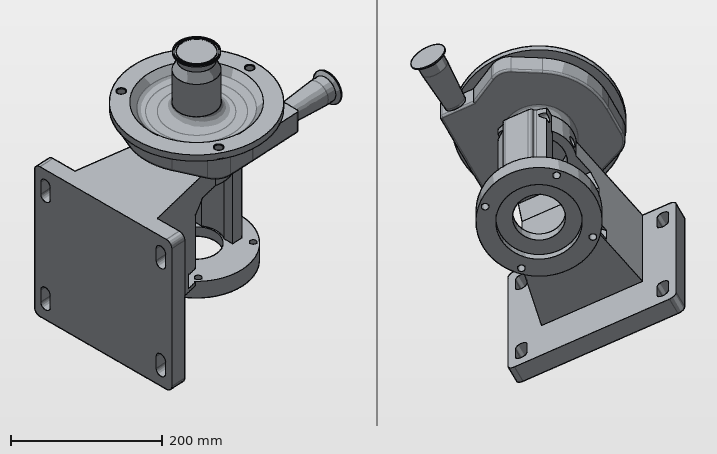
import cadquery as cq
import math


PLATE_SIZE = 250.0
PLATE_THICKNESS = 25.0
PLATE_FRONT_Y = -180.0
PLATE_CORNER_RADIUS = 10.0
PLATE_BACK_Y = PLATE_FRONT_Y + PLATE_THICKNESS
SLOT_LENGTH = 37.0
SLOT_WIDTH = 17.0
SLOT_SPACING_X = 210.0
SLOT_SPACING_Z = 180.0

BOSS_RADIUS = 50.0
BOSS_TOP_Z = 3.0
BOSS_BOTTOM_Z = -38.0
BORE_RADIUS = 37.5
BORE_TOP_Z = 0.0
BOSS_PIN_DIAMETER = 15.0
BOSS_PIN_Z = -24.5

ARM_ROOT_HALF_WIDTH = 75.0
ARM_TIP_Y = -14.5
ARM_BOTTOM_Z = -173.0
ARM_INNER_Y = -62.5
ARM_CHAMFER = 17.5
NOTCH_SIZE = 16.5
NOTCH_HEIGHT = 22.5

RING_RADIUS = 83.5
RING_HOLE_RADIUS = 35.0
RING_SPIGOT_RADIUS = 57.25
RING_SPIGOT_DEPTH = 12.0
RING_TOP_Z = -167.0
RING_BOTTOM_Z = -195.0
RING_BOLT_CIRCLE_RADIUS = 75.0
RING_BOLT_DIAMETER = 10.0
RING_BOLT_COUNT = 4

PILLAR_HALF_WIDTH = 36.0
PILLAR_INNER_Y = 31.5
PILLAR_OUTER_RADIUS = 61.0
PILLAR_RIB_HALF_WIDTH = 22.0
PILLAR_RIB_Y = 65.5
PILLAR_RIB_EDGE_FILLET = 5.0
PILLAR_RIB_ROOT_FILLET = 4.0
PILLAR_CHAMFER_Y = 45.0
PILLAR_CHAMFER_HEIGHT = 18.0
PILLAR_PIN_DIAMETER = 15.0
PILLAR_PIN_Y = 47.0
PILLAR_PIN_Z = -20.5

CASING_BOTTOM_Z = 23.0
CASING_TOP_Z = 58.0
CASING_SIDE_RADIUS = 103.0
CASING_FRONT_RADIUS = 97.5
CASING_EDGE_FILLET = 3.0
LOBE_RADIUS = 29.0
LOBE_CENTER_RADIUS = 85.0
LOBE_ANGLES = (90.0, 210.0, 330.0)

NECK_RADIUS = 41.75
NECK_FILLET = 10.0

FLANGE_RADIUS = 115.5
FLANGE_TOP_Z = 68.5
FLANGE_HOLE_DIAMETER = 12.0
FLANGE_HOLE_CHAMFER = 1.0
FLANGE_HOLE_DEPTH = 20.0
FLANGE_BOLT_CIRCLE_RADIUS = 102.5

DISH_RADIUS = 88.5
DISH_DEPTH = 16.0
DISH_WALL_ANGLE = 49.0
DISH_FLOOR_OUTER_RADIUS = 67.5
DISH_FLOOR_INNER_RADIUS = 52.0
DISH_FLOOR_Z = FLANGE_TOP_Z - DISH_DEPTH

SUCTION_RADIUS = 32.5
SUCTION_CONE_BOTTOM_Z = 122.5
SUCTION_CONE_TOP_Z = 138.0
SUCTION_NECK_RADIUS = 26.0
SUCTION_TOP_Z = 153.0
SUCTION_FERRULE_RADIUS = 32.0
GASKET_GROOVE_INNER_RADIUS = 27.0
GASKET_GROOVE_OUTER_RADIUS = 30.0
GASKET_GROOVE_DEPTH = 1.5

OUTLET_X = 78.9
OUTLET_Z = 40.0
OUTLET_END_Y = 170.0
OUTLET_BLOCK_X = 103.0
OUTLET_BLOCK_Y = 88.7
OUTLET_BLOCK_CORNER_RADIUS = 4.0
OUTLET_ROOT_RADIUS = 15.2
OUTLET_NECK_RADIUS = 19.2
OUTLET_CONE_START_Y = 92.0
OUTLET_CONE_END_Y = 150.0
OUTLET_FERRULE_RADIUS = 25.25

FERRULE_RIM = 2.0
FERRULE_CONE = 3.5


def polar(radius, angle_degrees):
    angle = math.radians(angle_degrees)
    return (radius * math.cos(angle), radius * math.sin(angle))


def make_plate():
    plate = (
        cq.Workplane("XY")
        .box(PLATE_SIZE, PLATE_THICKNESS, PLATE_SIZE)
        .edges("|Y")
        .fillet(PLATE_CORNER_RADIUS)
    )
    slots = (
        cq.Workplane("XZ")
        .rarray(SLOT_SPACING_X, SLOT_SPACING_Z, 2, 2)
        .slot2D(SLOT_LENGTH, SLOT_WIDTH, 90)
        .extrude(PLATE_THICKNESS, both=True)
    )
    return plate.cut(slots).translate((0, PLATE_FRONT_Y + PLATE_THICKNESS / 2, -PLATE_SIZE / 2))


def make_arm():
    tip_x = math.sqrt(BOSS_RADIUS**2 - ARM_TIP_Y**2)
    plan = (
        cq.Workplane("XY", origin=(0, 0, ARM_BOTTOM_Z))
        .moveTo(-ARM_ROOT_HALF_WIDTH, PLATE_BACK_Y)
        .lineTo(ARM_ROOT_HALF_WIDTH, PLATE_BACK_Y)
        .lineTo(tip_x, ARM_TIP_Y)
        .lineTo(-tip_x, ARM_TIP_Y)
        .close()
        .extrude(-ARM_BOTTOM_Z)
    )
    side = (
        cq.Workplane("YZ")
        .moveTo(PLATE_BACK_Y, 0)
        .lineTo(ARM_TIP_Y, 0)
        .lineTo(ARM_TIP_Y, BOSS_BOTTOM_Z)
        .lineTo(ARM_INNER_Y + ARM_CHAMFER, BOSS_BOTTOM_Z)
        .lineTo(ARM_INNER_Y, BOSS_BOTTOM_Z - ARM_CHAMFER)
        .lineTo(ARM_INNER_Y, ARM_BOTTOM_Z)
        .lineTo(PLATE_BACK_Y, ARM_BOTTOM_Z)
        .close()
        .extrude(ARM_ROOT_HALF_WIDTH, both=True)
    )
    arm = plan.intersect(side)
    side_slope = (ARM_ROOT_HALF_WIDTH - tip_x) / (ARM_TIP_Y - PLATE_BACK_Y)
    notch_y = ARM_INNER_Y - NOTCH_SIZE
    notch_x = tip_x + side_slope * (ARM_TIP_Y - notch_y)
    for side_sign in (-1, 1):
        notch = (
            cq.Workplane("XY", origin=(0, 0, RING_TOP_Z))
            .moveTo(side_sign * notch_x, notch_y)
            .lineTo(side_sign * (notch_x - NOTCH_SIZE), ARM_INNER_Y)
            .lineTo(side_sign * notch_x, ARM_INNER_Y)
            .close()
            .extrude(NOTCH_HEIGHT)
        )
        arm = arm.cut(notch)
    return arm


def make_ring():
    return (
        cq.Workplane("XY", origin=(0, 0, RING_BOTTOM_Z))
        .circle(RING_RADIUS)
        .extrude(RING_TOP_Z - RING_BOTTOM_Z)
    )


def ring_cutters():
    bolt_circle = cq.Workplane("XY", origin=(0, 0, RING_BOTTOM_Z)).polarArray(
        RING_BOLT_CIRCLE_RADIUS, 180 / RING_BOLT_COUNT, 360, RING_BOLT_COUNT
    )
    thickness = RING_TOP_Z - RING_BOTTOM_Z
    bolts = bolt_circle.circle(RING_BOLT_DIAMETER / 2).extrude(thickness)
    hole = cq.Workplane("XY", origin=(0, 0, RING_BOTTOM_Z)).circle(RING_HOLE_RADIUS).extrude(thickness)
    spigot = (
        cq.Workplane("XY", origin=(0, 0, RING_BOTTOM_Z))
        .circle(RING_SPIGOT_RADIUS)
        .extrude(RING_SPIGOT_DEPTH)
    )
    return bolts.union(hole).union(spigot)


def make_pillar():
    height = BOSS_TOP_Z - RING_TOP_Z
    base = cq.Workplane("XY", origin=(0, 0, RING_TOP_Z))
    blank = (
        base.moveTo(-PILLAR_HALF_WIDTH, PILLAR_INNER_Y)
        .lineTo(PILLAR_HALF_WIDTH, PILLAR_INNER_Y)
        .lineTo(PILLAR_HALF_WIDTH, PILLAR_OUTER_RADIUS)
        .lineTo(-PILLAR_HALF_WIDTH, PILLAR_OUTER_RADIUS)
        .close()
        .extrude(height)
    )
    web = base.circle(PILLAR_OUTER_RADIUS).extrude(height).intersect(blank)
    rib_depth = PILLAR_RIB_Y - PILLAR_INNER_Y
    rib = (
        base.center(0, PILLAR_INNER_Y + rib_depth / 2)
        .rect(2 * PILLAR_RIB_HALF_WIDTH, rib_depth)
        .extrude(height)
        .edges("|Z and >Y")
        .fillet(PILLAR_RIB_EDGE_FILLET)
    )
    pillar = web.union(rib)
    root_y = math.sqrt(PILLAR_OUTER_RADIUS**2 - PILLAR_RIB_HALF_WIDTH**2)
    for side_sign in (-1, 1):
        root_point = (side_sign * PILLAR_RIB_HALF_WIDTH, root_y, RING_TOP_Z + height / 2)
        root_edge = cq.selectors.NearestToPointSelector(root_point)
        pillar = pillar.edges(root_edge).fillet(PILLAR_RIB_ROOT_FILLET)
    return pillar


def pillar_cutters():
    """Sloped top corner and cross pin hole; both also cut the rim of the boss."""
    corner = (
        cq.Workplane("YZ")
        .moveTo(PILLAR_CHAMFER_Y, BOSS_TOP_Z)
        .lineTo(PILLAR_RIB_Y, BOSS_TOP_Z)
        .lineTo(PILLAR_RIB_Y, BOSS_TOP_Z - PILLAR_CHAMFER_HEIGHT)
        .close()
        .extrude(PILLAR_HALF_WIDTH, both=True)
    )
    pin_hole = (
        cq.Workplane("YZ", origin=(0, PILLAR_PIN_Y, PILLAR_PIN_Z))
        .circle(PILLAR_PIN_DIAMETER / 2)
        .extrude(PILLAR_HALF_WIDTH, both=True)
    )
    return corner.union(pin_hole)


def make_boss():
    return (
        cq.Workplane("XY", origin=(0, 0, BOSS_BOTTOM_Z))
        .circle(BOSS_RADIUS)
        .extrude(BOSS_TOP_Z - BOSS_BOTTOM_Z)
    )


def bore_cutters():
    bore = (
        cq.Workplane("XY", origin=(0, 0, RING_TOP_Z))
        .circle(BORE_RADIUS)
        .extrude(BORE_TOP_Z - RING_TOP_Z)
    )
    pin_hole = (
        cq.Workplane("YZ", origin=(0, 0, BOSS_PIN_Z))
        .circle(BOSS_PIN_DIAMETER / 2)
        .extrude(-BOSS_RADIUS)
    )
    return bore.union(pin_hole)


def tangent_lean(body_radius):
    """Angle from a lobe's center line to the normal of its tangent line to the body arc."""
    return math.degrees(math.acos((body_radius - LOBE_RADIUS) / LOBE_CENTER_RADIUS))


def lobe_point(lobe_angle, normal_angle):
    """Point on a lobe where its outward normal has the given angle."""
    center_x, center_y = polar(LOBE_CENTER_RADIUS, lobe_angle)
    x, y = polar(LOBE_RADIUS, normal_angle)
    return (center_x + x, center_y + y)


def make_casing():
    """Three-lobed casing: a lobe at each flange bolt, joined to the body arcs by tangent lines."""
    start = lobe_point(LOBE_ANGLES[0], LOBE_ANGLES[0] - tangent_lean(CASING_SIDE_RADIUS))
    outline = cq.Workplane("XY", origin=(0, 0, CASING_BOTTOM_Z)).moveTo(*start)
    body_radii = (CASING_SIDE_RADIUS, CASING_FRONT_RADIUS, CASING_SIDE_RADIUS)
    lobe_step = 360 / len(LOBE_ANGLES)
    for lobe_angle, body_radius in zip(LOBE_ANGLES, body_radii):
        next_lobe = lobe_angle + lobe_step
        lean = tangent_lean(body_radius)
        outline = (
            outline.threePointArc(
                lobe_point(lobe_angle, lobe_angle), lobe_point(lobe_angle, lobe_angle + lean)
            )
            .lineTo(*polar(body_radius, lobe_angle + lean))
            .threePointArc(
                polar(body_radius, lobe_angle + lobe_step / 2), polar(body_radius, next_lobe - lean)
            )
            .lineTo(*lobe_point(next_lobe, next_lobe - lean))
        )
    body = outline.close().extrude(CASING_TOP_Z - CASING_BOTTOM_Z)
    block = (
        cq.Workplane("XY", origin=(0, 0, CASING_BOTTOM_Z))
        .rect(OUTLET_BLOCK_X, OUTLET_BLOCK_Y, centered=False)
        .extrude(CASING_TOP_Z - CASING_BOTTOM_Z)
        .edges("|Z and >X and >Y")
        .fillet(OUTLET_BLOCK_CORNER_RADIUS)
    )
    return body.union(block).faces("<Z").edges().fillet(CASING_EDGE_FILLET)


def make_neck():
    top_radius = NECK_RADIUS + NECK_FILLET
    fillet_mid = NECK_FILLET * (1 - math.sqrt(0.5))
    return (
        cq.Workplane("XZ")
        .moveTo(0, BOSS_TOP_Z)
        .lineTo(NECK_RADIUS, BOSS_TOP_Z)
        .lineTo(NECK_RADIUS, CASING_BOTTOM_Z - NECK_FILLET)
        .threePointArc(
            (NECK_RADIUS + fillet_mid, CASING_BOTTOM_Z - fillet_mid), (top_radius, CASING_BOTTOM_Z)
        )
        .lineTo(0, CASING_BOTTOM_Z)
        .close()
        .revolve(360, (0, 0), (0, 1))
    )


def make_flange():
    return (
        cq.Workplane("XY", origin=(0, 0, CASING_TOP_Z))
        .circle(FLANGE_RADIUS)
        .extrude(FLANGE_TOP_Z - CASING_TOP_Z)
    )


def make_dish():
    """Ring-shaped recess with a conical wall, a flat floor and a fillet up to the suction pipe."""
    wall_angle = math.radians(DISH_WALL_ANGLE)
    wall_foot_radius = DISH_RADIUS - DISH_DEPTH / math.tan(wall_angle)
    tangent_length = wall_foot_radius - DISH_FLOOR_OUTER_RADIUS
    wall_start_radius = wall_foot_radius + tangent_length * math.cos(wall_angle)
    wall_start_z = DISH_FLOOR_Z + tangent_length * math.sin(wall_angle)
    pipe_fillet = DISH_FLOOR_INNER_RADIUS - SUCTION_RADIUS
    fillet_end_radius = DISH_FLOOR_INNER_RADIUS - math.sqrt(
        pipe_fillet**2 - (pipe_fillet - DISH_DEPTH) ** 2
    )
    return (
        cq.Workplane("XZ")
        .moveTo(DISH_RADIUS, FLANGE_TOP_Z)
        .lineTo(wall_start_radius, wall_start_z)
        .tangentArcPoint((DISH_FLOOR_OUTER_RADIUS, DISH_FLOOR_Z), relative=False)
        .lineTo(DISH_FLOOR_INNER_RADIUS, DISH_FLOOR_Z)
        .tangentArcPoint((fillet_end_radius, FLANGE_TOP_Z), relative=False)
        .close()
        .revolve(360, (0, 0), (0, 1))
    )


def flange_holes():
    radius = FLANGE_HOLE_DIAMETER / 2
    hole = (
        cq.Workplane("XZ")
        .moveTo(0, 0)
        .lineTo(radius + FLANGE_HOLE_CHAMFER, 0)
        .lineTo(radius, -FLANGE_HOLE_CHAMFER)
        .lineTo(radius, -FLANGE_HOLE_DEPTH)
        .lineTo(0, -FLANGE_HOLE_DEPTH)
        .close()
        .revolve(360, (0, 0), (0, 1))
    )
    holes = cq.Workplane("XY")
    for angle in LOBE_ANGLES:
        x, y = polar(FLANGE_BOLT_CIRCLE_RADIUS, angle)
        holes = holes.add(hole.translate((x, y, FLANGE_TOP_Z)))
    return holes.combine()


def make_suction_pipe():
    groove = (
        cq.Workplane("XY", origin=(0, 0, SUCTION_TOP_Z))
        .circle(GASKET_GROOVE_OUTER_RADIUS)
        .circle(GASKET_GROOVE_INNER_RADIUS)
        .extrude(-GASKET_GROOVE_DEPTH)
    )
    return (
        cq.Workplane("XZ")
        .moveTo(0, DISH_FLOOR_Z)
        .lineTo(SUCTION_RADIUS, DISH_FLOOR_Z)
        .lineTo(SUCTION_RADIUS, SUCTION_CONE_BOTTOM_Z)
        .lineTo(SUCTION_NECK_RADIUS, SUCTION_CONE_TOP_Z)
        .lineTo(SUCTION_NECK_RADIUS, SUCTION_TOP_Z - FERRULE_RIM - FERRULE_CONE)
        .lineTo(SUCTION_FERRULE_RADIUS, SUCTION_TOP_Z - FERRULE_RIM)
        .lineTo(SUCTION_FERRULE_RADIUS, SUCTION_TOP_Z)
        .lineTo(0, SUCTION_TOP_Z)
        .close()
        .revolve(360, (0, 0), (0, 1))
        .cut(groove)
    )


def make_discharge_pipe():
    return (
        cq.Workplane("XY", origin=(OUTLET_X, 0, OUTLET_Z))
        .moveTo(0, OUTLET_BLOCK_Y)
        .lineTo(OUTLET_ROOT_RADIUS, OUTLET_BLOCK_Y)
        .lineTo(OUTLET_ROOT_RADIUS, OUTLET_CONE_START_Y)
        .lineTo(OUTLET_NECK_RADIUS, OUTLET_CONE_END_Y)
        .lineTo(OUTLET_NECK_RADIUS, OUTLET_END_Y - FERRULE_RIM - FERRULE_CONE)
        .lineTo(OUTLET_FERRULE_RADIUS, OUTLET_END_Y - FERRULE_RIM)
        .lineTo(OUTLET_FERRULE_RADIUS, OUTLET_END_Y)
        .lineTo(0, OUTLET_END_Y)
        .close()
        .revolve(360, (0, 0), (0, 1))
    )


bracket = (
    make_boss()
    .union(make_pillar())
    .union(make_arm())
    .cut(bore_cutters())
    .cut(pillar_cutters())
    .union(make_ring())
    .cut(ring_cutters())
    .union(make_plate())
)
pump = (
    make_casing()
    .union(make_neck())
    .union(make_flange())
    .cut(make_dish())
    .cut(flange_holes())
    .union(make_suction_pipe())
    .union(make_discharge_pipe())
)
result = bracket.union(pump)